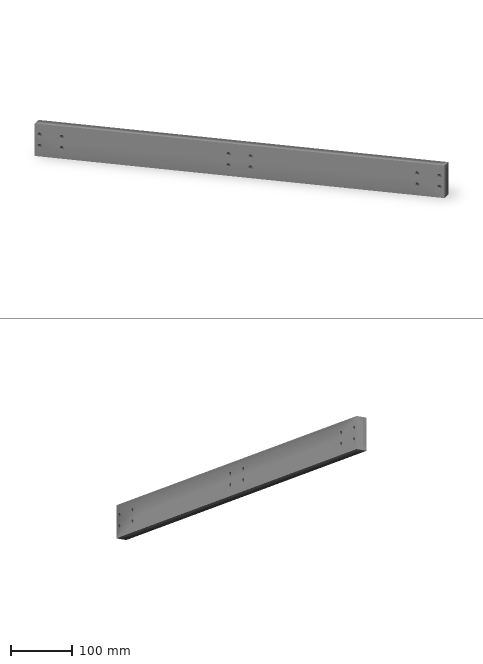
import cadquery as cq

length = 705.0
thickness = 20.0
height = 56.0

hole_diameter = 6.7
hole_spacing_x = 38.0
hole_spacing_z = 19.0
end_margin = 8.5

end_group_x = length / 2 - end_margin - hole_spacing_x / 2
group_centres_x = (-end_group_x, 0, end_group_x)


def hole_group(centre_x):
    """Four cylinders through the thickness, in a rectangle around centre_x."""
    return (
        cq.Workplane("XZ")
        .center(centre_x, 0)
        .rect(hole_spacing_x, hole_spacing_z, forConstruction=True)
        .vertices()
        .circle(hole_diameter / 2)
        .extrude(thickness / 2, both=True)
    )


result = cq.Workplane("XY").box(length, thickness, height)
for group_x in group_centres_x:
    result = result.cut(hole_group(group_x))